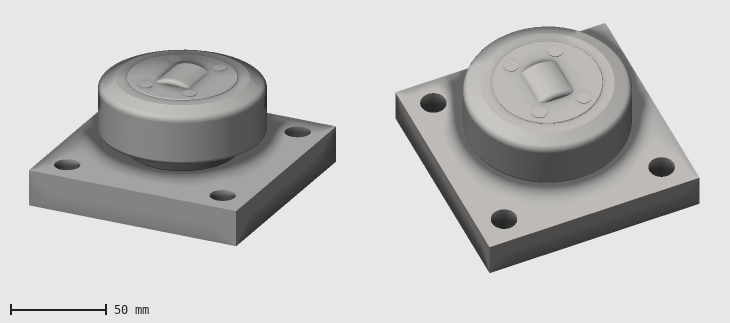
import cadquery as cq

plate_side = 120.0
plate_thickness = 20.0
hole_diameter = 13.8
hole_pitch = 90.0

neck_diameter = 59.0
neck_chamfer = 0.5
roller_diameter = 88.3
roller_bottom = 30.1
roller_top = 60.4
lower_edge_radius = 2.2
side_top = 54.1
cone_bottom = 57.7
cone_bottom_radius = 41.6
cone_top_radius = 35.0

disc_diameter = 58.0
disc_top = 61.0
disc_chamfer = 0.4
screw_diameter = 7.8
screw_top = 61.3
screw_pitch_x = 25.3
screw_pitch_y = 36.1

overall_height = 64.0
pad_width = 20.0
pad_length = 26.0
pad_end_radius = 2.5


def cylinder(diameter, bottom, top):
    return cq.Workplane("XY").workplane(offset=bottom).circle(diameter / 2).extrude(top - bottom)


def make_plate():
    return (
        cq.Workplane("XY")
        .rect(plate_side, plate_side)
        .extrude(plate_thickness)
        .faces(">Z")
        .workplane()
        .rect(hole_pitch, hole_pitch, forConstruction=True)
        .vertices()
        .hole(hole_diameter)
    )


def make_roller():
    """Revolve a half section with a rounded lower edge and a rounded, conical shoulder."""
    radius = roller_diameter / 2
    arc_offset = lower_edge_radius * (1 - 0.5**0.5)
    return (
        cq.Workplane("XZ")
        .moveTo(0, roller_bottom)
        .lineTo(radius - lower_edge_radius, roller_bottom)
        .threePointArc(
            (radius - arc_offset, roller_bottom + arc_offset),
            (radius, roller_bottom + lower_edge_radius),
        )
        .lineTo(radius, side_top)
        .tangentArcPoint((cone_bottom_radius, cone_bottom), relative=False)
        .lineTo(cone_top_radius, roller_top)
        .lineTo(0, roller_top)
        .close()
        .revolve(360, (0, 0, 0), (0, 1, 0))
    )


def make_screw_heads():
    return (
        cq.Workplane("XY")
        .workplane(offset=roller_top)
        .rect(screw_pitch_x, screw_pitch_y, forConstruction=True)
        .vertices()
        .circle(screw_diameter / 2)
        .extrude(screw_top - roller_top)
    )


def make_pad():
    """Build a cylindrical crown along Y with its two end arcs rounded over."""
    rise = overall_height - disc_top
    crown_radius = ((pad_width / 2) ** 2 + rise**2) / (2 * rise)
    crown = (
        cq.Workplane("XZ")
        .center(0, overall_height - crown_radius)
        .circle(crown_radius)
        .extrude(pad_length / 2, both=True)
        .edges()
        .fillet(pad_end_radius)
    )
    blank = (
        cq.Workplane("XY")
        .workplane(offset=roller_top)
        .rect(pad_width, pad_length)
        .extrude(overall_height - roller_top)
    )
    return crown.intersect(blank)


result = (
    make_plate()
    .union(cylinder(neck_diameter, plate_thickness, roller_bottom).faces("<Z or >Z").chamfer(neck_chamfer))
    .union(make_roller())
    .union(cylinder(disc_diameter, roller_top, disc_top).faces(">Z").chamfer(disc_chamfer))
    .union(make_screw_heads())
    .union(make_pad())
)